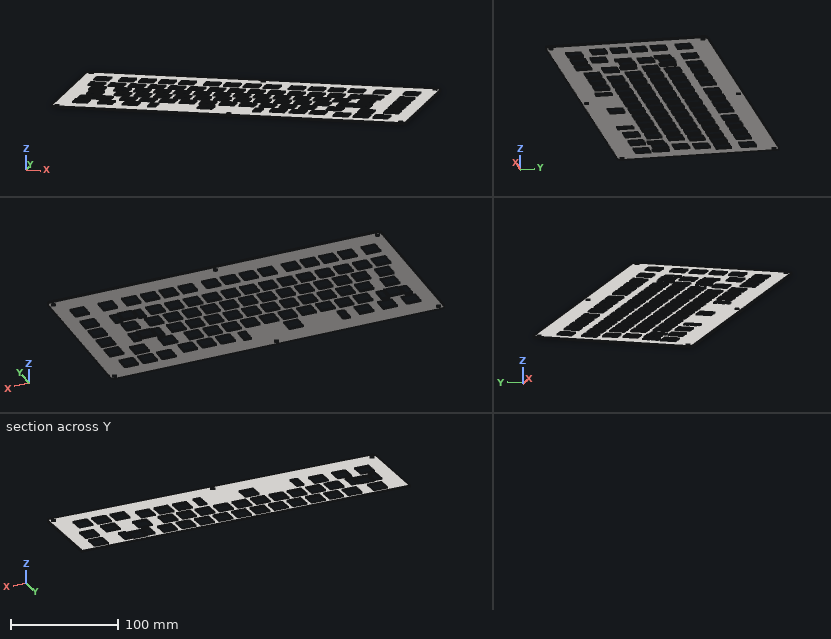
import cadquery as cq

plate_length = 338.8
plate_width = 154.5
plate_thickness = 1.5
corner_radius = 4.0

screw_diameter = 3.5
screw_inset = 5.0

number_key_count = 13
number_keys_span = 228.7
key_pitch = number_keys_span / (number_key_count - 1)
first_key_x = -148.5
function_row_y = 50.5

switch_size = 14.0
cutout_radius = 0.5

stabilizer_width = 7.0
stabilizer_height = 15.0
stabilizer_drop = 1.7
wide_key_reach = 12.0
space_bar_reach = 50.0

number_row = 1.25
tab_row = number_row + 1
caps_row = number_row + 2
shift_row = number_row + 3
bottom_row = number_row + 4
arrow_drop = 0.25

side_column = 15.5
arrow_column = 14.25
backspace_column = 13.5
enter_column = 13.375
left_shift_column = 0.625
space_column = 6.375


def run(first_column, count, step=1):
    """Columns of evenly spaced neighbouring keys."""
    return [first_column + step * i for i in range(count)]


key_rows = [
    (0, [0] + run(1.25, 4) + run(5.5, 4) + run(9.75, 4) + [14, side_column]),
    (number_row, run(0, number_key_count) + [backspace_column, side_column]),
    (tab_row, [0.25] + run(1.5, 12) + [13.75, side_column]),
    (caps_row, [0.375] + run(1.75, 11) + [enter_column, side_column]),
    (shift_row, [left_shift_column] + run(2.25, 10) + [12.625, side_column]),
    (shift_row + arrow_drop, [arrow_column]),
    (bottom_row, run(0.125, 3, step=1.25) + [space_column] + run(10, 3)),
    (bottom_row + arrow_drop, run(arrow_column - 1, 3)),
]

stabilized_keys = [
    (backspace_column, number_row, wide_key_reach),
    (enter_column, caps_row, wide_key_reach),
    (left_shift_column, shift_row, wide_key_reach),
    (space_column, bottom_row, space_bar_reach),
]


def key_center(column, row):
    return (first_key_x + column * key_pitch, function_row_y - row * key_pitch)


def cutouts(centers, width, height):
    """Rounded rectangular cutters through the plate at the given centers."""
    return (
        cq.Workplane("XY")
        .pushPoints(centers)
        .rect(width, height)
        .extrude(plate_thickness)
        .edges("|Z")
        .fillet(cutout_radius)
    )


def make_plate():
    return (
        cq.Workplane("XY")
        .rect(plate_length, plate_width)
        .extrude(plate_thickness)
        .edges("|Z")
        .fillet(corner_radius)
    )


def screw_holes():
    end_x = plate_length / 2 - screw_inset
    edge_y = plate_width / 2 - screw_inset
    centers = [(x, y) for x in (-end_x, 0, end_x) for y in (-edge_y, edge_y)]
    return (
        cq.Workplane("XY")
        .pushPoints(centers)
        .circle(screw_diameter / 2)
        .extrude(plate_thickness)
    )


def switch_openings():
    centers = [key_center(column, row) for row, columns in key_rows for column in columns]
    return cutouts(centers, switch_size, switch_size)


def stabilizer_slots():
    centers = []
    for column, row, reach in stabilized_keys:
        x, y = key_center(column, row)
        for side in (-1, 1):
            centers.append((x + side * reach, y - stabilizer_drop))
    return cutouts(centers, stabilizer_width, stabilizer_height)


result = make_plate().cut(switch_openings()).cut(stabilizer_slots()).cut(screw_holes())